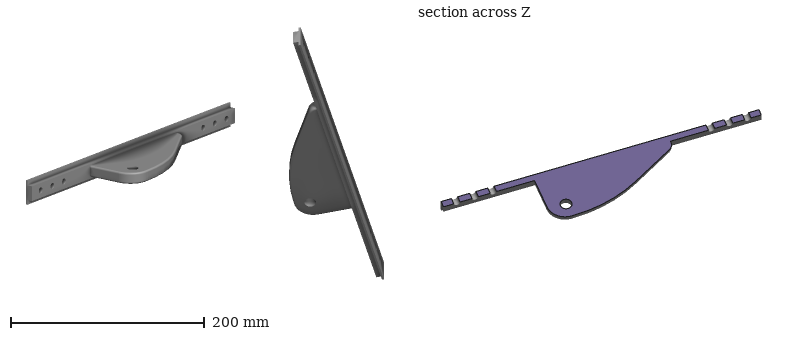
import cadquery as cq
import math

LENGTH = 350.0
PLATE_THICKNESS = 2.0
PLATE_HEIGHT = 26.0

BAR_THICKNESS = 6.0
BAR_HEIGHT = 16.0
BAR_BACK = PLATE_THICKNESS + BAR_THICKNESS

SCREW_DIAMETER = 6.5
SCREW_PITCH = 20.0
SCREWS_PER_END = 3
SCREW_END_MARGIN = 15.0

TONGUE_REACH = 65.0
TONGUE_LENGTH = 150.0
TONGUE_THICKNESS = 12.0
TONGUE_EDGE_RADIUS = 2.0
HEEL_RADIUS = 20.0
TIP_RADIUS = 10.0
FLANK_RADIUS = 150.0
FLANK_ANGLE = 30.0
NOSE_FLAT = 3.2

PIN_DIAMETER = 12.0
PIN_X = 48.0
PIN_Y = -55.0


def slab(x_start, thickness, height):
    """Full-length strip centred on the X axis."""
    return (
        cq.Workplane("XY")
        .box(thickness, LENGTH, height, centered=(False, True, True))
        .translate((x_start, 0, 0))
    )


def arc_point(center, radius, degrees):
    """Point on a circle, with the angle measured from +X."""
    angle = math.radians(degrees)
    return (center[0] + radius * math.cos(angle), center[1] + radius * math.sin(angle))


def tongue():
    """Blade with a rounded heel, a bulging flank and a small rounded tip."""
    bottom = -TONGUE_LENGTH / 2
    top = TONGUE_LENGTH / 2
    heel_center = (TONGUE_REACH - HEEL_RADIUS, bottom + HEEL_RADIUS)
    flank_center = (TONGUE_REACH - FLANK_RADIUS, heel_center[1] + NOSE_FLAT)
    flank_end = arc_point(flank_center, FLANK_RADIUS, FLANK_ANGLE)

    tip_center_y = top - TIP_RADIUS
    lean = math.radians(FLANK_ANGLE)
    tip_start_y = tip_center_y + TIP_RADIUS * math.sin(lean)
    tip_start_x = flank_end[0] - (tip_start_y - flank_end[1]) * math.tan(lean)
    tip_center_x = tip_start_x - TIP_RADIUS * math.cos(lean)
    tip_center = (tip_center_x, tip_center_y)
    tip_middle_angle = (FLANK_ANGLE + 90) / 2

    root = PLATE_THICKNESS
    return (
        cq.Workplane("XY")
        .workplane(offset=-TONGUE_THICKNESS / 2)
        .moveTo(root, bottom)
        .lineTo(heel_center[0], bottom)
        .threePointArc(
            arc_point(heel_center, HEEL_RADIUS, -45),
            (TONGUE_REACH, heel_center[1]),
        )
        .lineTo(TONGUE_REACH, flank_center[1])
        .threePointArc(arc_point(flank_center, FLANK_RADIUS, FLANK_ANGLE / 2), flank_end)
        .lineTo(tip_start_x, tip_start_y)
        .threePointArc(
            arc_point(tip_center, TIP_RADIUS, tip_middle_angle),
            (tip_center_x, top),
        )
        .lineTo(root, top)
        .close()
        .extrude(TONGUE_THICKNESS)
        .faces("|Z")
        .edges().fillet(TONGUE_EDGE_RADIUS)
    )


def screw_holes():
    """Cutters through the plate and bar, along X."""
    outermost = LENGTH / 2 - SCREW_END_MARGIN
    distances = [outermost - i * SCREW_PITCH for i in range(SCREWS_PER_END)]
    points = [(side * distance, 0) for side in (-1, 1) for distance in distances]
    return cq.Workplane("YZ").pushPoints(points).circle(SCREW_DIAMETER / 2).extrude(BAR_BACK)


def pin_hole():
    """Cutter through the tongue, along Z."""
    return (
        cq.Workplane("XY")
        .workplane(offset=-TONGUE_THICKNESS / 2)
        .center(PIN_X, PIN_Y)
        .circle(PIN_DIAMETER / 2)
        .extrude(TONGUE_THICKNESS)
    )


face_plate = slab(0, PLATE_THICKNESS, PLATE_HEIGHT)
bar = slab(PLATE_THICKNESS, BAR_THICKNESS, BAR_HEIGHT)
result = face_plate.union(bar).union(tongue()).cut(screw_holes()).cut(pin_hole())